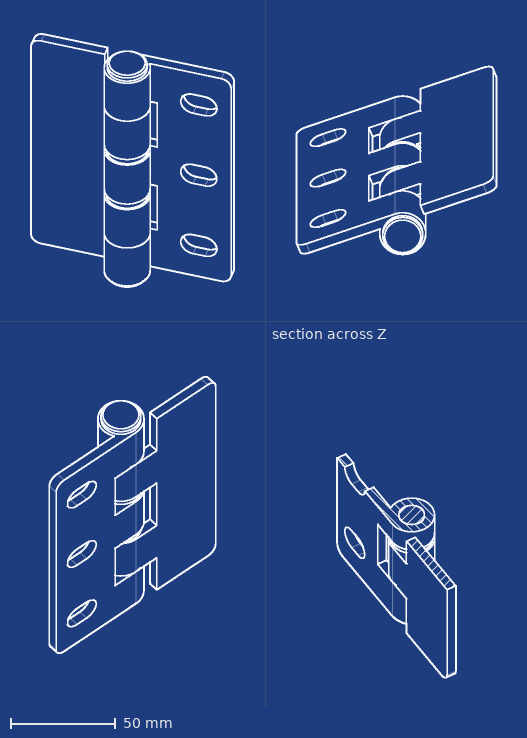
import cadquery as cq

total_height = 136.0
total_width = 100.0
cap_height = 3.0
leaf_height = total_height - 2 * cap_height

leaf_thickness = 5.0
corner_radius = 5.0
knuckle_radius = 11.0
pin_radius = knuckle_radius - leaf_thickness
leaf_edge_offset = 13.0

middle_knuckle_end = 12.5
washer_end = 16.0
inner_knuckle_end = 40.7

washer_radius = 10.0
cap_radius = 9.5
cap_chamfer = 1.0

slot_length = 18.0
slot_width = 12.0
slot_offset = 33.9
slot_spacing = 45.0

left_knuckles = [
    (-inner_knuckle_end, -washer_end),
    (washer_end, inner_knuckle_end),
]
right_knuckles = [
    (-leaf_height / 2, -inner_knuckle_end),
    (-middle_knuckle_end, middle_knuckle_end),
    (inner_knuckle_end, leaf_height / 2),
]


def cylinder(radius, bottom, top):
    """Solid cylinder on the pin axis."""
    return cq.Workplane("XY").workplane(offset=bottom).circle(radius).extrude(top - bottom)


def plate(inner_x, outer_x, bottom, top):
    """Flat piece of leaf whose back face is tangent to the knuckles."""
    width = abs(outer_x - inner_x)
    return cq.Workplane("XY").box(width, leaf_thickness, top - bottom).translate((
        (inner_x + outer_x) / 2,
        knuckle_radius - leaf_thickness / 2,
        (bottom + top) / 2,
    ))


def make_leaf(side, knuckles):
    """Leaf with bored knuckles; side is -1 for the left leaf and 1 for the right."""
    inner_x = side * leaf_edge_offset
    outer_x = side * total_width / 2
    outer_edges = "|Y and >X" if side > 0 else "|Y and <X"
    leaf = plate(inner_x, outer_x, -leaf_height / 2, leaf_height / 2)
    leaf = leaf.edges(outer_edges).fillet(corner_radius)
    for bottom, top in knuckles:
        leaf = leaf.union(plate(0, inner_x, bottom, top))
        leaf = leaf.union(cylinder(knuckle_radius, bottom, top))
    return leaf.cut(cylinder(pin_radius, -leaf_height / 2, leaf_height / 2))


def cut_slots(leaf):
    """Three horizontal mounting slots through the leaf."""
    slots = (
        cq.Workplane("XZ")
        .pushPoints([(slot_offset, row * slot_spacing) for row in (-1, 0, 1)])
        .slot2D(slot_length, slot_width)
        .extrude(-knuckle_radius)
    )
    return leaf.cut(slots)


def make_washer(bottom, top):
    """Spacer ring around the pin."""
    return cylinder(washer_radius, bottom, top).cut(cylinder(pin_radius, bottom, top))


def make_cap(side):
    """Disc closing one end of the hinge; side is -1 for the bottom and 1 for the top."""
    bottom, top = sorted((side * leaf_height / 2, side * total_height / 2))
    outer_face = ">Z" if side > 0 else "<Z"
    return cylinder(cap_radius, bottom, top).faces(outer_face).edges().chamfer(cap_chamfer)


left_leaf = make_leaf(-1, left_knuckles)
right_leaf = cut_slots(make_leaf(1, right_knuckles))
pin = cylinder(pin_radius, -leaf_height / 2, leaf_height / 2)

washers = []
caps = []
for side in (-1, 1):
    bottom, top = sorted((side * middle_knuckle_end, side * washer_end))
    washers.append(make_washer(bottom, top).val())
    caps.append(make_cap(side).val())

result = cq.Compound.makeCompound([
    left_leaf.val(),
    right_leaf.val(),
    pin.val(),
    *washers,
    *caps,
])